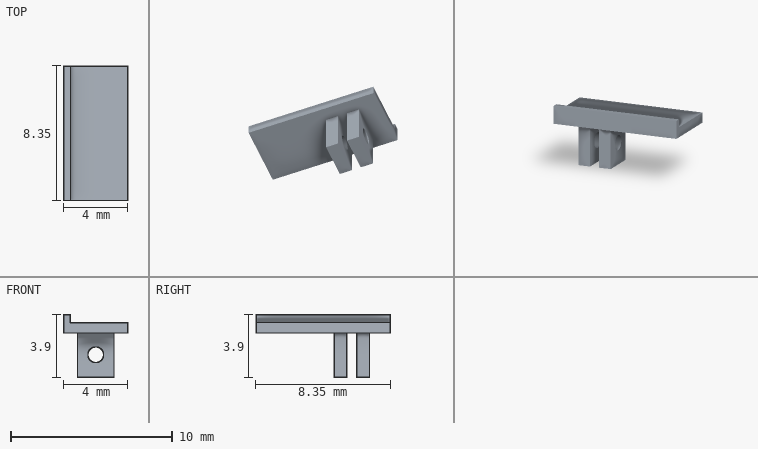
import cadquery as cq

plate_width = 4.0
plate_length = 8.35
plate_thickness = 0.65
lip_width = 0.42
lip_height = 0.5

lug_width = 2.28
lug_thickness = 0.8
lug_height = 2.75
lug_gap = 0.6
lug_back_inset = 1.3
hole_height = 1.4
front_hole_diameter = 0.95
back_hole_diameter = 1.0

left_edge = -plate_width / 2
back_end = plate_length / 2
back_lug_y = back_end - lug_back_inset - lug_thickness / 2
front_lug_y = back_lug_y - lug_thickness - lug_gap


def make_plate():
    """L-shaped section extruded along Y."""
    return (
        cq.Workplane("XZ", origin=(left_edge, back_end, 0))
        .lineTo(plate_width, 0)
        .lineTo(plate_width, plate_thickness)
        .lineTo(lip_width, plate_thickness)
        .lineTo(lip_width, plate_thickness + lip_height)
        .lineTo(0, plate_thickness + lip_height)
        .close()
        .extrude(plate_length)
    )


def make_lug(center_y, hole_diameter):
    """Rectangular lug centred across the plate, pierced along Y."""
    lug = (
        cq.Workplane("XY", origin=(0, center_y, 0))
        .rect(lug_width, lug_thickness)
        .extrude(-lug_height)
    )
    hole = (
        cq.Workplane("XZ", origin=(0, center_y, hole_height - lug_height))
        .circle(hole_diameter / 2)
        .extrude(lug_thickness, both=True)
    )
    return lug.cut(hole)


result = (
    make_plate()
    .union(make_lug(front_lug_y, front_hole_diameter))
    .union(make_lug(back_lug_y, back_hole_diameter))
)